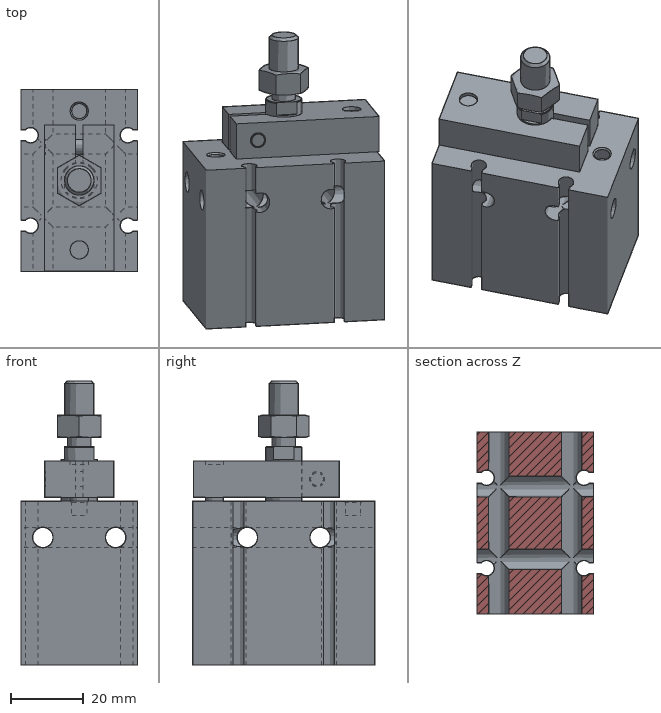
import cadquery as cq
import math

housing_width = 32.0
housing_length = 50.0
housing_height = 45.0
edge_radius = 0.15

mount_hole_dia = 5.5
mount_hole_offset = 10.0
mount_hole_drop = 10.0

slot_bore_dia = 4.1
slot_mouth_width = 3.0
slot_offset_y = 12.4
slot_bore_inset = 2.65

port_dia = 4.1
port_mouth_dia = 5.0
port_depth = 3.9
port_y = 19.0
countersink_angle = 45

plate_gap = 1.0
plate_height = 10.0
plate_width = 19.0
plate_length = 40.0
plate_bottom = housing_height + plate_gap
plate_top = plate_bottom + plate_height
plate_inset = 0.2
plate_front = plate_inset - housing_length / 2
plate_back = plate_front + plate_length
split_width = 1.95

guide_dia = 5.0
guide_y = -port_y
guide_recess = 1.0

screw_dia = 4.1
screw_tip_dia = 3.5
screw_y = 9.1

rod_dia = 10.0
rod_top = 60.0
rod_chamfer = 0.2
flat_width = 8.2
flat_bottom = 56.5
relief_dia = 6.5
stud_dia = 8.0
stud_tip_dia = 6.5
stud_chamfer = (stud_dia - stud_tip_dia) / 2
overall_height = 78.0

nut_sides = 6
nut_flats = 12.0
nut_height = 6.1
nut_bottom = 62.5
nut_top = nut_bottom + nut_height
nut_face_dia = 11.85
nut_cone_angle = 15


def cylinder(dia, bottom, top, y=0.0):
    """Upright cylinder on the X = 0 plane."""
    return cq.Workplane("XY", origin=(0, y, bottom)).circle(dia / 2).extrude(top - bottom)


def sensor_slots():
    """Four keyhole cutters, open to the +X and -X sides."""
    bore_x = housing_width / 2 - slot_bore_inset
    places = [(side * bore_x, y) for side in (-1, 1) for y in (-slot_offset_y, slot_offset_y)]
    mouths = [(math.copysign(housing_width / 2, x), y) for x, y in places]
    bores = cq.Workplane("XY").pushPoints(places).circle(slot_bore_dia / 2).extrude(housing_height)
    necks = cq.Workplane("XY").pushPoints(mouths)
    necks = necks.rect(2 * slot_bore_inset, slot_mouth_width).extrude(housing_height)
    return bores.union(necks)


def mount_holes(plane, length):
    """Two parallel cross holes through the housing."""
    height = housing_height - mount_hole_drop
    places = [(-mount_hole_offset, height), (mount_hole_offset, height)]
    holes = cq.Workplane(plane).pushPoints(places).circle(mount_hole_dia / 2)
    return holes.extrude(length / 2, both=True)


def port():
    """Port hole with a countersink at the housing top."""
    countersink = (port_mouth_dia - port_dia) / 2
    hole = cylinder(port_dia, housing_height - port_depth, housing_height, port_y)
    mouth = cq.Workplane("XY", origin=(0, port_y, housing_height))
    mouth = mouth.circle(port_mouth_dia / 2).extrude(-countersink, taper=countersink_angle)
    return hole.union(mouth)


def make_housing():
    block = cq.Workplane("XY").rect(housing_width, housing_length).extrude(housing_height)
    block = block.cut(sensor_slots())
    block = block.edges("|Z").edges("<X or >X").fillet(edge_radius)
    block = block.cut(mount_holes("YZ", housing_width))
    block = block.cut(mount_holes("XZ", housing_length))
    return block.cut(port())


def make_nut():
    """Hexagon nut with both end faces turned to a cone."""
    half_sector = 180 / nut_sides
    across_corners = nut_flats / math.cos(math.radians(half_sector))
    hexagon = cq.Workplane("XY", origin=(0, 0, nut_bottom)).transformed(rotate=(0, 0, half_sector))
    hexagon = hexagon.polygon(nut_sides, across_corners).extrude(nut_height)
    radial = (across_corners - nut_face_dia) / 2
    axial = radial * math.tan(math.radians(nut_cone_angle))
    envelope = cylinder(across_corners, nut_bottom, nut_top).faces("<Z or >Z").chamfer(axial, radial)
    return hexagon.intersect(envelope)


def make_rod():
    """Piston rod with wrench flats, relief and threaded end."""
    rod = cylinder(rod_dia, housing_height, rod_top).faces(">Z").chamfer(rod_chamfer)
    block_x = (flat_width + rod_dia) / 2
    flat_blocks = cq.Workplane("XY", origin=(0, 0, flat_bottom))
    flat_blocks = flat_blocks.pushPoints([(-block_x, 0), (block_x, 0)])
    flat_blocks = flat_blocks.rect(rod_dia, rod_dia).extrude(rod_top - flat_bottom)
    stud = cylinder(stud_dia, nut_bottom, overall_height).faces(">Z").chamfer(stud_chamfer)
    return rod.cut(flat_blocks).union(cylinder(relief_dia, rod_top, nut_bottom)).union(stud)


def make_plate():
    """Guide plate, split from its back edge to the rod."""
    plate = cq.Workplane("XY", origin=(0, (plate_front + plate_back) / 2, plate_bottom))
    plate = plate.box(plate_width, plate_length, plate_height, centered=(True, True, False))
    split = cq.Workplane("XY", origin=(0, plate_back / 2, plate_bottom))
    split = split.rect(split_width, plate_back).extrude(plate_height)
    recess = cylinder(guide_dia, plate_top - guide_recess, plate_top, guide_y)
    return plate.cut(split).cut(recess)


def clamp_screw():
    """Cutter for the screw hole across the plate, and the screw that fills it up to its tip."""
    middle = (plate_bottom + plate_top) / 2
    blank = cq.Workplane("YZ", origin=(-plate_width / 2, screw_y, middle))
    blank = blank.circle(screw_dia / 2).extrude(plate_width)
    screw = blank.faces("<X").chamfer((screw_dia - screw_tip_dia) / 2)
    return blank, screw


def make_moving_group():
    """Rod, nut, guide plate, clamp screw and guide rod as one solid."""
    hole, screw = clamp_screw()
    group = make_plate().cut(hole).union(screw)
    group = group.union(cylinder(guide_dia, housing_height, plate_bottom, guide_y))
    return group.union(make_rod()).union(make_nut())


housing = make_housing()
moving_group = make_moving_group()

result = cq.Compound.makeCompound([housing.val(), moving_group.val()])